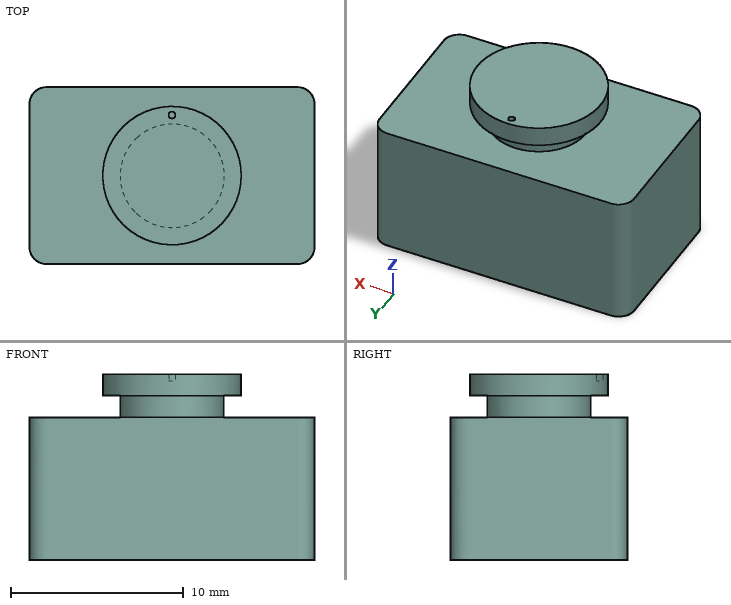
import cadquery as cq

body_length = 16.5
body_width = 10.25
body_height = 8.25
corner_radius = 1.0

stem_diameter = 6.0
cap_diameter = 8.0
overall_height = 10.75
stem_height = (overall_height - body_height) / 2
cap_height = overall_height - body_height - stem_height

pointer_diameter = 0.4
pointer_offset = 3.5
pointer_depth = pointer_diameter


def make_body():
    block = cq.Workplane("XY").box(
        body_length, body_width, body_height, centered=(True, True, False)
    )
    return block.edges("|Z").fillet(corner_radius)


def make_knob():
    stem = (
        cq.Workplane("XY")
        .workplane(offset=body_height)
        .circle(stem_diameter / 2)
        .extrude(stem_height)
    )
    cap = stem.faces(">Z").workplane().circle(cap_diameter / 2).extrude(cap_height)
    pointer_plane = cap.faces(">Z").workplane().center(0, pointer_offset)
    return pointer_plane.hole(pointer_diameter, pointer_depth)


result = make_body().union(make_knob())